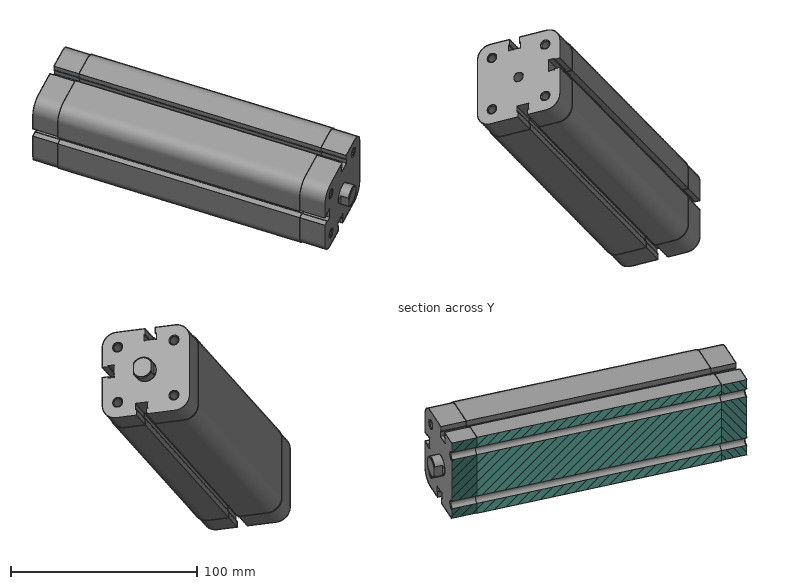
import cadquery as cq

total_length = 175.5
cap_length = 14.5
rod_stickout = 6.0
profile_length = total_length - rod_stickout - 2 * cap_length
profile_start = cap_length
front_cap_start = profile_start + profile_length
front_face = front_cap_start + cap_length

profile_size = 50.0
cap_clearance = 0.26
corner_radius = 8.0

slot_offset = 2.5
slot_mouth_width = 5.3
slot_inner_width = 6.5
slot_lip_depth = 3.7
slot_depth = 6.8
slot_turns = (-90, 0, 90)

screw_hole_offset = 16.0
screw_hole_diameter = 4.5
screw_hole_chamfer = 0.5
centre_hole_diameter = 5.6

rod_diameter = 12.0
rod_across_flats = 10.0
rod_tip_chamfer = 0.5
flat_setback = 0.2
flat_depth = (rod_diameter - rod_across_flats) / 2


def slot_cutter(start, length, clearance):
    """T-shaped slot opening to -Y, shifted to +Z from the middle of that side.

    The clearance widens both walls and lowers the floor.
    """
    side = -profile_size / 2
    floor = slot_depth + clearance
    cutter = cq.Workplane("XY")
    for width, depth in (
        (slot_mouth_width, 0),
        (slot_inner_width, slot_lip_depth),
    ):
        cutter = cutter.union(
            cq.Workplane("XY")
            .box(length, floor - depth, width + 2 * clearance, centered=(False, False, True))
            .translate((start, side + depth, slot_offset))
        )
    return cutter


def slotted_block(start, length, clearance=0.0):
    """Rounded square bar along X with the sensor slots and the four screw holes."""
    size = profile_size - 2 * clearance
    block = (
        cq.Workplane("YZ", origin=(start, 0, 0))
        .rect(size, size)
        .extrude(length)
        .edges("|X")
        .fillet(corner_radius)
        .faces("<X")
        .workplane(centerOption="CenterOfBoundBox")
        .rect(2 * screw_hole_offset, 2 * screw_hole_offset, forConstruction=True)
        .vertices()
        .hole(screw_hole_diameter)
    )
    for turn in slot_turns:
        block = block.cut(slot_cutter(start, length, clearance).rotate((0, 0, 0), (1, 0, 0), turn))
    return block


def axial_cylinder(start, length, diameter):
    return cq.Workplane("YZ", origin=(start, 0, 0)).circle(diameter / 2).extrude(length)


def chamfer_screw_holes(cap, outer_face):
    return cap.faces(outer_face).edges(cq.selectors.RadiusNthSelector(0)).chamfer(screw_hole_chamfer)


def make_profile():
    return slotted_block(profile_start, profile_length)


def make_rear_cap():
    cap = slotted_block(0, cap_length, cap_clearance)
    cap = chamfer_screw_holes(cap, "<X")
    return cap.cut(axial_cylinder(0, cap_length, centre_hole_diameter))


def make_front_cap():
    cap = slotted_block(front_cap_start, cap_length, cap_clearance)
    cap = chamfer_screw_holes(cap, ">X")
    return cap.cut(axial_cylinder(front_cap_start, cap_length, rod_diameter))


def make_rod():
    """Rod through the front cap, with two wrench flats that run in at 45 degrees."""
    rod = axial_cylinder(front_cap_start, cap_length + rod_stickout, rod_diameter)
    rod = rod.faces(">X").chamfer(rod_tip_chamfer)
    flat_start = front_face + flat_setback
    flat = (
        cq.Workplane("XY")
        .moveTo(flat_start, -rod_diameter / 2)
        .lineTo(flat_start + flat_depth, -rod_across_flats / 2)
        .lineTo(total_length, -rod_across_flats / 2)
        .lineTo(total_length, -rod_diameter / 2)
        .close()
        .extrude(rod_diameter / 2, both=True)
    )
    return rod.cut(flat).cut(flat.mirror("XZ"))


profile = make_profile()
rear_cap = make_rear_cap()
front_cap = make_front_cap()
rod = make_rod()

result = cq.Compound.makeCompound([profile.val(), rear_cap.val(), front_cap.val(), rod.val()])